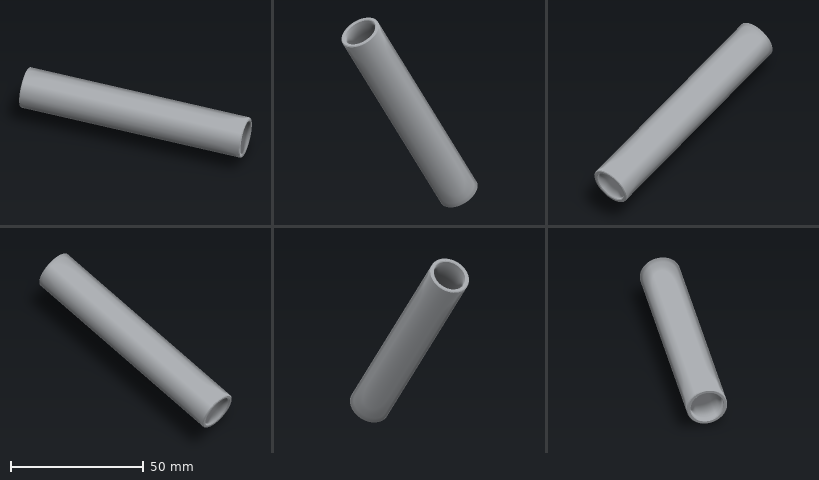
import cadquery as cq

length = 87.5
outer_diameter = 15.7
bore_diameter = 12.6
rim_chamfer = 0.31

tube = (
    cq.Workplane("YZ", origin=(-length / 2, 0, 0))
    .circle(outer_diameter / 2)
    .circle(bore_diameter / 2)
    .extrude(length)
)

result = tube.faces("<X or >X").edges().chamfer(rim_chamfer)